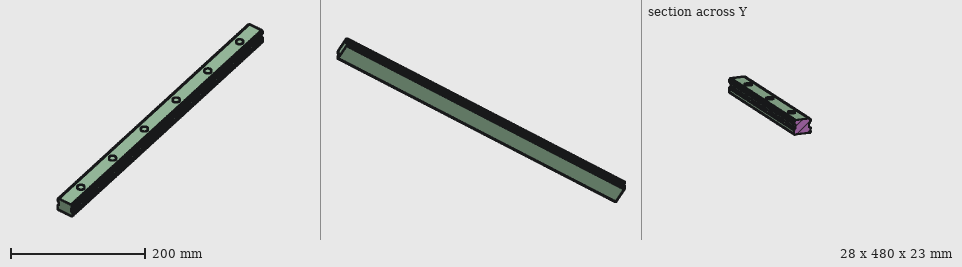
import cadquery as cq

length = 480.0
width = 28.0
height = 23.0
half_width = width / 2

top_face_inset = 2.65
top_chamfer_inset = 2.0
top_chamfer_drop = 0.7
upper_groove_height = 2.0
upper_groove_sagitta = 0.5
head_land_height = 1.5
flank_height = 3.1
flank_inset = 1.7
lower_groove_height = 2.65
lower_groove_sagitta = 0.4

web_inset = 2.65
web_height = 3.0
shoulder_height = 2.65
bottom_chamfer = 1.7

hole_count = 6
hole_pitch = length / hole_count
hole_diameter = 11.0
recess_depth = 0.5

upper_groove_top = height - top_chamfer_drop
land_top = upper_groove_top - upper_groove_height
land_bottom = land_top - head_land_height
flank_bottom = land_bottom - flank_height
web_top = flank_bottom - lower_groove_height
web_bottom = web_top - web_height
base_side_top = web_bottom - shoulder_height


def make_rail():
    """Draw the right half of the section, mirror it and extrude it along Y."""
    half_web = half_width - web_inset
    section = (
        cq.Workplane("XZ")
        .moveTo(0, height)
        .lineTo(half_width - top_face_inset, height)
        .lineTo(half_width - top_chamfer_inset, upper_groove_top)
        .sagittaArc((half_width, land_top), -upper_groove_sagitta)
        .lineTo(half_width, land_bottom)
        .lineTo(half_width - flank_inset, flank_bottom)
        .sagittaArc((half_web, web_top), -lower_groove_sagitta)
        .lineTo(half_web, web_bottom)
        .lineTo(half_width, base_side_top)
        .lineTo(half_width, bottom_chamfer)
        .lineTo(half_width - bottom_chamfer, 0)
        .lineTo(0, 0)
        .mirrorY()
    )
    return section.extrude(length / 2, both=True).clean()


def make_recesses():
    """One row of shallow round recesses, half a pitch in from each end."""
    return (
        cq.Workplane("XY", origin=(0, 0, height - recess_depth))
        .rarray(5, hole_pitch, 1, hole_count)
        .circle(hole_diameter / 2)
        .extrude(recess_depth)
    )


result = make_rail().cut(make_recesses())